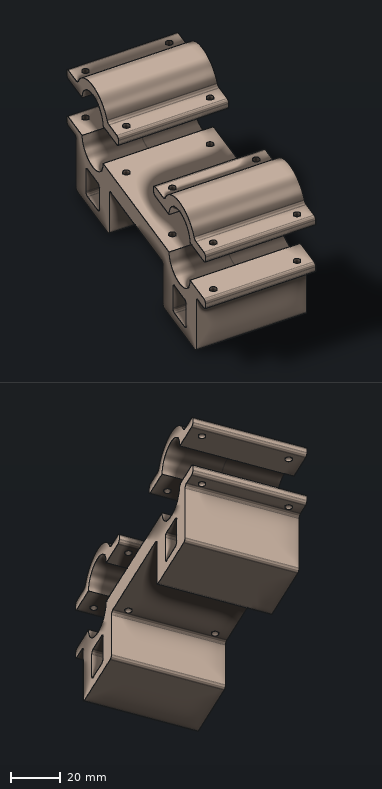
import cadquery as cq
import math

length = 125.7
depth = 50.0
height = 69.5

wall = 5.0
bore_diameter = 19.0
bore_radius = bore_diameter / 2
cap_radius = bore_radius + wall
cap_width = 47.0
root_radius = 1.9
edge_radius = 1.5

block_width = 30.3
pocket_width = 12.1
pocket_height = 15.0
plate_thickness = 10.2
base_height = bore_radius + wall + pocket_height + wall

hole_diameter = 3.0
hole_end_inset = wall
hole_side_inset = 6.0

clamp_x = (length - cap_width) / 2
clamp_centres = (-clamp_x, clamp_x)
cap_bottom = height - cap_radius


def extrude_profile(sketch):
    """Extrude an outline in the XZ plane over the full depth."""
    return sketch.extrude(depth / 2, both=True)


def bore(x, z):
    """Cylinder along Y that cuts a half-round rod seat."""
    return extrude_profile(cq.Workplane("XZ").center(x, z).circle(bore_radius))


def pocket(x):
    """Rounded rectangular tunnel along Y through a block of the base."""
    outline = cq.Workplane("XZ").center(x, wall + pocket_height / 2).rect(pocket_width, pocket_height)
    return extrude_profile(outline).edges("|Y").fillet(edge_radius)


def screw_holes(x):
    """Four vertical cutters for the clamp centred on x."""
    pitch_x = cap_width - 2 * hole_end_inset
    pitch_y = depth - 2 * hole_side_inset
    corners = cq.Workplane("XY").center(x, 0).rarray(pitch_x, pitch_y, 2, 2)
    return corners.circle(hole_diameter / 2).extrude(height)


def base_blank():
    """Plate with end flanges on two blocks, with every corner rounded."""
    end = length / 2
    block_outer = clamp_x + block_width / 2
    block_inner = clamp_x - block_width / 2
    right_half = [
        (block_inner, base_height - plate_thickness),
        (block_inner, 0),
        (block_outer, 0),
        (block_outer, base_height - wall),
        (end, base_height - wall),
        (end, base_height),
    ]
    left_half = [(-x, z) for x, z in reversed(right_half)]
    outline = cq.Workplane("XZ").polyline(right_half + left_half).close()
    return extrude_profile(outline).edges("|Y").fillet(edge_radius)


def make_base():
    """Base with a rod seat, a pocket and four screw holes at each clamp."""
    base = base_blank()
    for x in clamp_centres:
        base = base.cut(bore(x, base_height)).cut(pocket(x)).cut(screw_holes(x))
    return base


def make_cap(x):
    """Arched clamp cap with a flange on each side."""
    flange_centre = cap_bottom + wall / 2
    flanges = extrude_profile(cq.Workplane("XZ").center(x, flange_centre).rect(cap_width, wall))
    flanges = flanges.edges("|Y").fillet(edge_radius)

    arch_half = math.sqrt(cap_radius**2 - wall**2)
    arch = extrude_profile(
        cq.Workplane("XZ")
        .moveTo(x - arch_half, cap_bottom + wall)
        .threePointArc((x, height), (x + arch_half, cap_bottom + wall))
        .close()
    )
    cap = flanges.union(arch)
    for side in (-1, 1):
        root = cq.selectors.NearestToPointSelector((x + side * arch_half, 0, cap_bottom + wall))
        cap = cap.edges(root).fillet(root_radius)
    return cap.cut(bore(x, cap_bottom)).cut(screw_holes(x))


base = make_base()
caps = [make_cap(x) for x in clamp_centres]

result = cq.Compound.makeCompound([base.val(), *[cap.val() for cap in caps]])